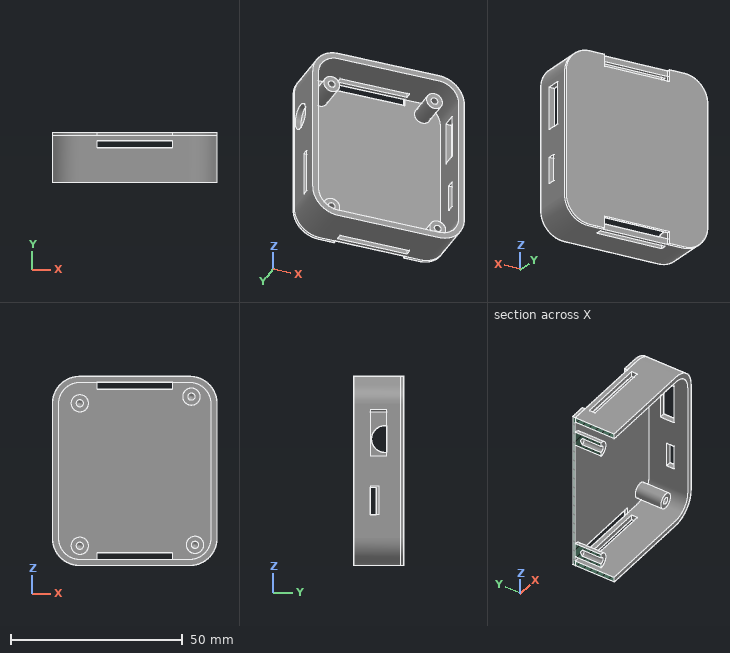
import cadquery as cq
import math

WIDTH = 47.95
DEPTH = 14.6
HEIGHT = 55.1
CORNER_RADIUS = 8.0
WALL = 1.8

PLATE_THICKNESS = 1.0
NOTCH_WIDTH = 21.9
NOTCH_DEPTH = 3.75

BACK_Y = DEPTH / 2
FRONT_Y = -DEPTH / 2
PLATE_FRONT_Y = BACK_Y - PLATE_THICKNESS

END_SLOT_HEIGHT = 2.0
END_SLOT_FROM_BACK = 2.5

ROUND_OPENING_DIAMETER = 7.7
ROUND_OPENING_FROM_BACK = 5.5
ROUND_OPENING_Z = 9.25
LEFT_SLOT_FROM_BACK = 8.05
LEFT_SLOT_WIDTH = 2.0
LEFT_SLOT_TOP_Z = -4.85
LEFT_SLOT_BOTTOM_Z = -18.5

RIGHT_OPENINGS_FRONT_FROM_BACK = 9.75
UPPER_OPENING_FROM_BACK = 5.0
UPPER_OPENING_TOP_Z = 17.85
UPPER_OPENING_BOTTOM_Z = 4.4
LOWER_OPENING_FROM_BACK = 7.15
LOWER_OPENING_TOP_Z = -4.4
LOWER_OPENING_BOTTOM_Z = -12.7

POST_DIAMETER = 5.0
POST_LENGTH = 9.0
POST_CENTRES = [(-16.0, 19.65), (16.45, 21.6), (-16.0, -21.75), (17.5, -21.5)]
HOLE_DIAMETER = 2.1
HOLE_DEPTH = 6.6
DRILL_POINT_ANGLE = 118.0


def rounded_block(width, height, radius, front_y, back_y):
    """Block with rounded corners in the XZ plane, from front_y to back_y."""
    return (
        cq.Workplane("XY")
        .box(width, back_y - front_y, height)
        .edges("|Y")
        .fillet(radius)
        .translate((0, (front_y + back_y) / 2, 0))
    )


def side_cutter(wall_centre_x, from_back, width, bottom_z, top_z):
    """Box that cuts through one side wall, starting from_back ahead of the back face."""
    centre_y = BACK_Y - from_back - width / 2
    return (
        cq.Workplane("XY")
        .box(2 * WALL, width, top_z - bottom_z)
        .translate((wall_centre_x, centre_y, (top_z + bottom_z) / 2))
    )


def make_frame():
    """Rounded wall around the case with its openings."""
    frame = rounded_block(WIDTH, HEIGHT, CORNER_RADIUS, FRONT_Y, PLATE_FRONT_Y)
    cavity = rounded_block(
        WIDTH - 2 * WALL, HEIGHT - 2 * WALL, CORNER_RADIUS - WALL, FRONT_Y, PLATE_FRONT_Y
    )
    frame = frame.cut(cavity)

    end_slot_y = BACK_Y - END_SLOT_FROM_BACK - END_SLOT_HEIGHT / 2
    end_slots = cq.Workplane("XY").box(NOTCH_WIDTH, END_SLOT_HEIGHT, HEIGHT)
    frame = frame.cut(end_slots.translate((0, end_slot_y, 0)))

    right_wall_x = (WIDTH - WALL) / 2
    left_wall_x = -right_wall_x

    round_opening = (
        cq.Workplane("YZ")
        .center(BACK_Y - ROUND_OPENING_FROM_BACK, ROUND_OPENING_Z)
        .circle(ROUND_OPENING_DIAMETER / 2)
        .extrude(WALL, both=True)
        .translate((left_wall_x, 0, 0))
    )
    frame = frame.cut(round_opening)
    frame = frame.cut(
        side_cutter(left_wall_x, LEFT_SLOT_FROM_BACK, LEFT_SLOT_WIDTH, LEFT_SLOT_BOTTOM_Z, LEFT_SLOT_TOP_Z)
    )

    right_openings = [
        (UPPER_OPENING_FROM_BACK, UPPER_OPENING_BOTTOM_Z, UPPER_OPENING_TOP_Z),
        (LOWER_OPENING_FROM_BACK, LOWER_OPENING_BOTTOM_Z, LOWER_OPENING_TOP_Z),
    ]
    for from_back, bottom_z, top_z in right_openings:
        opening_width = RIGHT_OPENINGS_FRONT_FROM_BACK - from_back
        frame = frame.cut(side_cutter(right_wall_x, from_back, opening_width, bottom_z, top_z))
    return frame


def make_plate():
    """Back plate with a notch in the middle of its top and bottom edges."""
    plate = rounded_block(WIDTH, HEIGHT, CORNER_RADIUS, PLATE_FRONT_Y, BACK_Y)
    notch = cq.Workplane("XY").box(NOTCH_WIDTH, DEPTH, 2 * NOTCH_DEPTH)
    for edge_z in (-HEIGHT / 2, HEIGHT / 2):
        plate = plate.cut(notch.translate((0, BACK_Y, edge_z)))
    return plate


def make_post(x, z):
    """Round post, revolved from its half section so the hole ends in a drill point."""
    post_radius = POST_DIAMETER / 2
    hole_radius = HOLE_DIAMETER / 2
    front_y = PLATE_FRONT_Y - POST_LENGTH
    hole_end_y = front_y + HOLE_DEPTH
    point_length = hole_radius / math.tan(math.radians(DRILL_POINT_ANGLE / 2))
    return (
        cq.Workplane("XY")
        .moveTo(hole_radius, front_y)
        .lineTo(post_radius, front_y)
        .lineTo(post_radius, PLATE_FRONT_Y)
        .lineTo(0, PLATE_FRONT_Y)
        .lineTo(0, hole_end_y + point_length)
        .lineTo(hole_radius, hole_end_y)
        .close()
        .revolve(360, (0, 0, 0), (0, 1, 0))
        .translate((x, 0, z))
    )


frame = make_frame()
plate = make_plate()
posts = [make_post(x, z) for x, z in POST_CENTRES]

result = cq.Compound.makeCompound([frame.val(), plate.val(), *[post.val() for post in posts]])